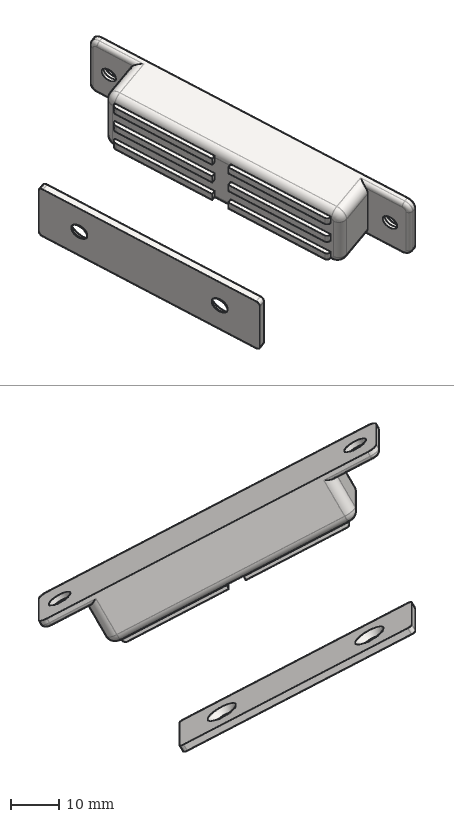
import cadquery as cq

housing_length = 80.0
housing_height = 17.0
overall_depth = 39.7
flange_thickness = 2.0
flange_corner_radius = 2.0
flange_edge_radius = flange_thickness / 2
box_length = 59.0
box_depth = 12.0
box_corner_radius = 2.5
box_edge_radius = 2.0
mount_hole_diameter = 3.5
mount_hole_spacing = 70.0
mount_bore_diameter = 5.1
mount_bore_depth = 1.3

bar_span = 53.8
bar_gap = 4.0
bar_height = 2.1
bar_pitch = 6.0
bar_thickness = 1.0
bar_end_radius = 0.9

plate_length = 55.0
plate_height = 16.0
plate_thickness = 1.6
plate_corner_radius = 1.0
plate_hole_diameter = 3.9
plate_hole_spacing = 35.0
plate_sink_diameter = 6.7
plate_sink_angle = 90.0

box_front_y = -box_depth
plate_back_y = plate_thickness - overall_depth
bar_length = (bar_span - bar_gap) / 2
bar_center_x = (bar_gap + bar_length) / 2


def rounded_slab(length, height, thickness, corner_radius, back_y):
    """Slab centred on X and Z that grows toward -Y from back_y."""
    return (
        cq.Workplane("XZ", origin=(0, back_y, 0))
        .rect(length, height)
        .extrude(thickness)
        .edges("|Y")
        .fillet(corner_radius)
    )


def back_hole_centers(body, spacing):
    """Two drilling points on the back face of the body, spaced evenly about the middle."""
    return (
        body.faces(">Y")
        .workplane(origin=(0, 0, 0))
        .pushPoints([(-spacing / 2, 0), (spacing / 2, 0)])
    )


def make_housing():
    """Box on a thin flange, front edges rounded over, mounting holes counterbored from the back."""
    flange = rounded_slab(housing_length, housing_height, flange_thickness, flange_corner_radius, 0)
    flange = flange.faces("<Y").edges().fillet(flange_edge_radius)
    box = rounded_slab(box_length, housing_height, box_depth, box_corner_radius, 0)
    box = box.faces("<Y").edges().fillet(box_edge_radius)
    centers = back_hole_centers(flange.union(box), mount_hole_spacing)
    return centers.cboreHole(mount_hole_diameter, mount_bore_diameter, mount_bore_depth)


def make_bar(side, row):
    """Raised bar on the box front, rounded at the outer end of its front face."""
    outer_end = ">X" if side > 0 else "<X"
    return (
        cq.Workplane("XY")
        .box(bar_length, bar_thickness, bar_height)
        .faces("<Y")
        .edges(outer_end)
        .fillet(bar_end_radius)
        .translate((side * bar_center_x, box_front_y - bar_thickness / 2, row * bar_pitch))
    )


def make_plate():
    """Loose strike plate in front of the housing, its holes countersunk on the side facing it."""
    plate = rounded_slab(plate_length, plate_height, plate_thickness, plate_corner_radius, plate_back_y)
    centers = back_hole_centers(plate, plate_hole_spacing)
    return centers.cskHole(plate_hole_diameter, plate_sink_diameter, plate_sink_angle)


housing = make_housing()
plate = make_plate()
bars = [make_bar(side, row) for side in (-1, 1) for row in (-1, 0, 1)]

result = cq.Compound.makeCompound([housing.val(), plate.val(), *[bar.val() for bar in bars]])